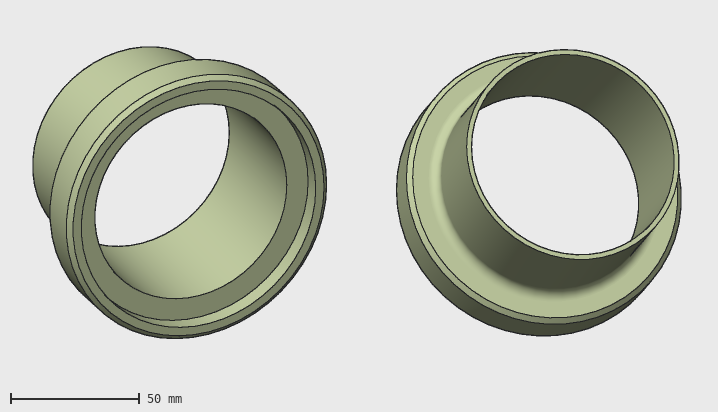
import cadquery as cq

total_length = 64.0
bore_diameter = 81.0
tube_diameter = 85.0

flange_diameter = 110.0
flange_thickness = 20.0
flange_chamfer = 2.0

recess_diameter = 99.0
recess_depth = 7.5

neck_fillet = 4.0

flange_start = total_length - flange_thickness
recess_start = total_length - recess_depth


def cylinder_along_x(start, length, diameter):
    """Solid cylinder on the X axis, growing toward +X."""
    return cq.Workplane("YZ", origin=(start, 0, 0)).circle(diameter / 2).extrude(length)


def make_flange():
    """Disc with both outer rims chamfered."""
    flange = cylinder_along_x(flange_start, flange_thickness, flange_diameter)
    return flange.faces("<X or >X").edges().chamfer(flange_chamfer)


def make_body():
    """Solid tube and flange, with the corner between them filleted."""
    tube = cylinder_along_x(0, total_length, tube_diameter)
    body = tube.union(make_flange())
    flange_face = body.faces("|X").faces(cq.selectors.CenterNthSelector(cq.Vector(1, 0, 0), 1))
    neck_corner = flange_face.edges(cq.selectors.RadiusNthSelector(0))
    return neck_corner.fillet(neck_fillet)


bore = cylinder_along_x(0, total_length, bore_diameter)
recess = cylinder_along_x(recess_start, recess_depth, recess_diameter)
result = make_body().cut(bore).cut(recess)